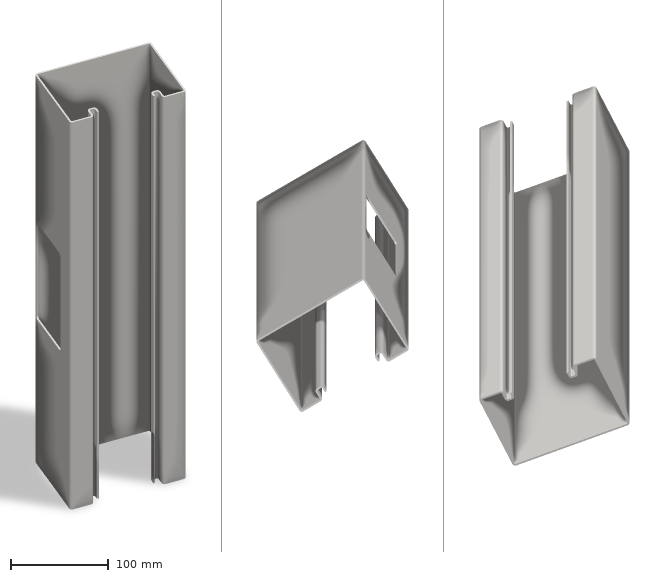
import cadquery as cq

WIDTH = 90.0
DEPTH = 130.0
LENGTH = 500.0

THICKNESS = 2.0
HALF_THICKNESS = THICKNESS / 2
WALL_BEND_RADIUS = 1.0
HOOK_BEND_RADIUS = 1.5

SLOT_WIDTH = 77.0
HOOK_DEPTH = 14.0
HOOK_HEIGHT = 10.0
HOOK_TIP_INSET = 6.0

WINDOW_WIDTH = 60.0
WINDOW_HEIGHT = 125.0
WINDOW_INSET = 5.0
WINDOW_CORNER_RADIUS = 3.0


def sheet_centreline():
    """Mid-thickness path from hook tip to hook tip, as (x, y, inside bend radius)."""
    wall_x = WIDTH / 2 - HALF_THICKNESS
    wall_y = DEPTH / 2 - HALF_THICKNESS
    tip_x = WIDTH / 2 - HOOK_TIP_INSET
    hook_x = WIDTH / 2 - HOOK_DEPTH + HALF_THICKNESS
    flange_leg_y = SLOT_WIDTH / 2 + HALF_THICKNESS
    free_leg_y = flange_leg_y - HOOK_HEIGHT + THICKNESS
    no_bend = 0.0
    upper = [
        (tip_x, free_leg_y, no_bend),
        (hook_x, free_leg_y, HOOK_BEND_RADIUS),
        (hook_x, flange_leg_y, HOOK_BEND_RADIUS),
        (wall_x, flange_leg_y, WALL_BEND_RADIUS),
        (wall_x, wall_y, WALL_BEND_RADIUS),
        (-wall_x, wall_y, WALL_BEND_RADIUS),
    ]
    lower = [(x, -y, radius) for x, y, radius in reversed(upper)]
    return upper + lower


def unit_direction(start, end):
    """Direction of a stretch of the path; every stretch runs along X or Y."""
    dx = end[0] - start[0]
    dy = end[1] - start[1]
    size = abs(dx) + abs(dy)
    return dx / size, dy / size


def sheet_outline(path):
    """Return the sharp outline of the sheet and its bends as (corner, radius) pairs."""
    directions = [unit_direction(start, end) for start, end in zip(path, path[1:])]
    arriving = [directions[0]] + directions
    leaving = directions + [directions[-1]]
    left_side = []
    right_side = []
    bends = []
    for (x, y, inside_radius), before, after in zip(path, arriving, leaving):
        shift_x, shift_y = -before[1], before[0]
        turn = before[0] * after[1] - before[1] * after[0]
        if turn != 0:
            shift_x -= after[1]
            shift_y += after[0]
        left = (x + shift_x * HALF_THICKNESS, y + shift_y * HALF_THICKNESS)
        right = (x - shift_x * HALF_THICKNESS, y - shift_y * HALF_THICKNESS)
        left_side.append(left)
        right_side.append(right)
        if turn != 0:
            inside, outside = (left, right) if turn > 0 else (right, left)
            bends.append((inside, inside_radius))
            bends.append((outside, inside_radius + THICKNESS))
    return left_side + right_side[::-1], bends


def folded_channel():
    """Extrude the sheet outline along Z, centred, and round both sides of every bend."""
    outline, bends = sheet_outline(sheet_centreline())
    body = cq.Workplane("XY").polyline(outline).close().extrude(LENGTH / 2, both=True)
    for (x, y), radius in bends:
        bend_edge = cq.selectors.NearestToPointSelector((x, y, 0))
        body = body.edges("|Z").edges(bend_edge).fillet(radius)
    return body


def window_cutter():
    """Round-cornered block that pierces only the -Y wall."""
    centre_x = -WIDTH / 2 + WINDOW_INSET + WINDOW_WIDTH / 2
    wall_centre_y = -DEPTH / 2 + HALF_THICKNESS
    cut_depth = 2 * THICKNESS
    return (
        cq.Workplane("XY")
        .box(WINDOW_WIDTH, cut_depth, WINDOW_HEIGHT)
        .edges("|Y")
        .fillet(WINDOW_CORNER_RADIUS)
        .translate((centre_x, wall_centre_y, 0))
    )


result = folded_channel().cut(window_cutter())